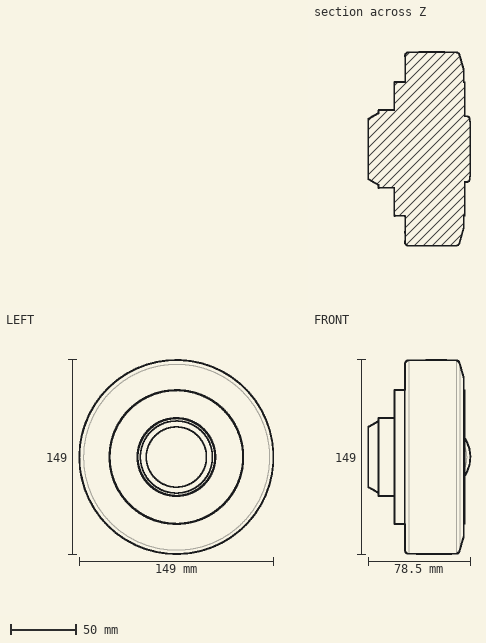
import cadquery as cq
import math

COLLAR_START = 7.9
FLANGE_START = 20.0
ROLLER_START = 28.2
ROLLER_END = 73.3
CAP_END = 74.2
PART_LENGTH = 78.5

STUB_TIP_RADIUS = 23.1
STUB_TAPER_ANGLE = math.radians(30)
COLLAR_RADIUS = 60.0 / 2
CAP_RADIUS = 102.5 / 2
FLANGE_RADIUS = 103.0 / 2
EDGE_CHAMFER = 0.5

TREAD_RADIUS = 74.5
CROWN_HEIGHT = 0.3
SHOULDER_FILLET = 3
BEVEL_INNER_RADIUS = 61.1
BEVEL_ANGLE = math.radians(16)

PIN_RADIUS = 26.1
PIN_LENGTH = 50.7
PIN_CROWN_HEIGHT = 0.3
PIN_FILLET = 2.8


def disc(start, end, radius):
    """Cylinder about the X axis between two positions."""
    return cq.Workplane("YZ").workplane(offset=start).circle(radius).extrude(end - start)


def make_stub():
    base_radius = STUB_TIP_RADIUS + COLLAR_START * math.tan(STUB_TAPER_ANGLE)
    outline = [(0, 0), (0, STUB_TIP_RADIUS), (COLLAR_START, base_radius), (COLLAR_START, 0)]
    return cq.Workplane("XY").polyline(outline).close().revolve(360, (0, 0), (1, 0))


def make_roller():
    edge_radius = TREAD_RADIUS - CROWN_HEIGHT
    tread_end = ROLLER_END - (edge_radius - BEVEL_INNER_RADIUS) * math.tan(BEVEL_ANGLE)
    tread_middle = (ROLLER_START + tread_end) / 2
    profile = (
        cq.Workplane("XY")
        .moveTo(ROLLER_START, 0)
        .lineTo(ROLLER_START, edge_radius)
        .threePointArc((tread_middle, TREAD_RADIUS), (tread_end, edge_radius))
        .lineTo(ROLLER_END, BEVEL_INNER_RADIUS)
        .lineTo(ROLLER_END, 0)
        .close()
    )
    roller = profile.revolve(360, (0, 0), (1, 0))
    roller = roller.faces("<X").edges().fillet(SHOULDER_FILLET)
    return roller.faces("%CONE").edges("<X").fillet(SHOULDER_FILLET)


def make_pin():
    axis_x = PART_LENGTH - PIN_RADIUS
    end_x = PART_LENGTH - PIN_CROWN_HEIGHT
    half_length = PIN_LENGTH / 2
    profile = (
        cq.Workplane("XY")
        .moveTo(axis_x, -half_length)
        .lineTo(end_x, -half_length)
        .threePointArc((PART_LENGTH, 0), (end_x, half_length))
        .lineTo(axis_x, half_length)
        .close()
    )
    pin = profile.revolve(360, (axis_x, 0), (axis_x, 1))
    pin = pin.faces("<Y or >Y").edges().fillet(PIN_FILLET)
    return pin.intersect(disc(ROLLER_END, PART_LENGTH, TREAD_RADIUS))


collar = disc(COLLAR_START, FLANGE_START, COLLAR_RADIUS).faces("<X").chamfer(EDGE_CHAMFER)
flange = disc(FLANGE_START, ROLLER_START, FLANGE_RADIUS).faces("<X").chamfer(EDGE_CHAMFER)
cap = disc(ROLLER_END, CAP_END, CAP_RADIUS)

result = make_stub().union(collar).union(flange).union(make_roller()).union(cap).union(make_pin())